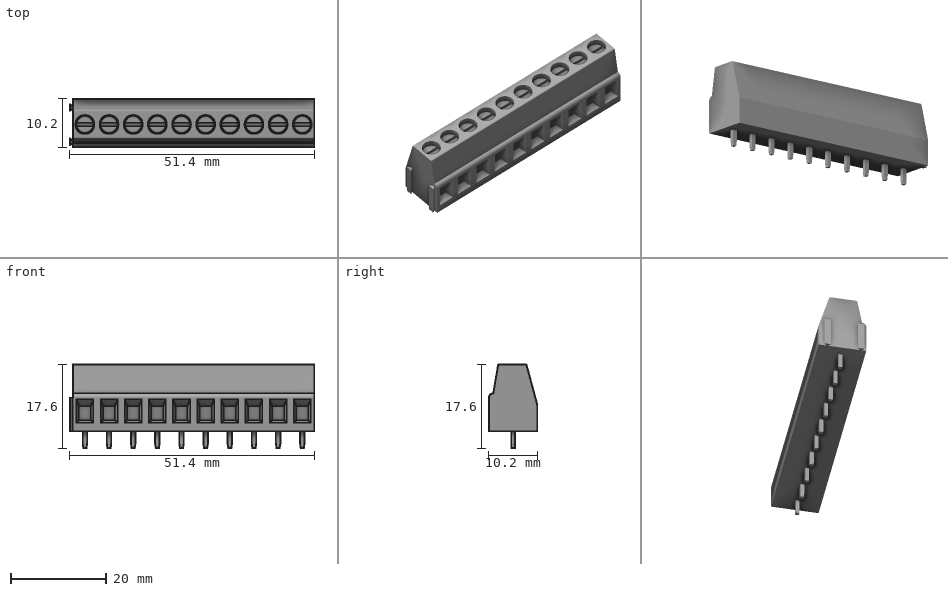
import cadquery as cq


pole_count = 10
pitch = 5.08
length = pole_count * pitch
depth = 10.2
height = 14.1
shoulder_height = 8.0
shoulder_radius = 0.9
top_front_y = 1.93
top_back_y = 7.9
back_slope_start = 5.6
top_edge_radius = 0.25

opening_width = 3.58
opening_floor = 1.84
opening_height = 4.98
opening_side_taper = 0.55
opening_floor_taper = 0.5
opening_roof_taper = 1.57
opening_depth = 1.6

screw_y = 4.84
screw_hole_diameter = 4.0
screw_head_diameter = 3.6
screw_recess = 1.2
screw_gap_depth = 0.5
slot_width = 0.8
slot_depth = 0.7

pin_width = 1.0
pin_thickness = 0.8
pin_length = 3.5
pin_tip_length = 0.95
pin_tip_width = 0.7
pin_y = 5.1

rib_projection = 0.6
rib_outer_width = 1.42
rib_root_width = 0.5
rib_height = 7.1
rib_centres_y = (1.2, 8.4)

pole_centres_x = [(index + 0.5) * pitch for index in range(pole_count)]


def make_housing():
    """Housing profile extruded along the row, with rounded top edges."""
    profile = (
        cq.Workplane("YZ")
        .lineTo(depth, 0)
        .lineTo(depth, back_slope_start)
        .lineTo(top_back_y, height)
        .lineTo(top_front_y, height)
        .lineTo(shoulder_radius, shoulder_height)
        .radiusArc((0, shoulder_height - shoulder_radius), -shoulder_radius)
        .close()
    )
    return profile.extrude(length).faces(">Z").edges("|X").fillet(top_edge_radius)


def make_opening(x):
    """Tapered wire funnel entering from the front face."""
    middle_z = opening_floor + opening_height / 2
    inner_width = opening_width - 2 * opening_side_taper
    inner_height = opening_height - opening_floor_taper - opening_roof_taper
    inner_middle_shift = (opening_floor_taper - opening_roof_taper) / 2
    return (
        cq.Workplane("XZ", origin=(x, 0, middle_z))
        .rect(opening_width, opening_height)
        .workplane(offset=-opening_depth)
        .center(0, inner_middle_shift)
        .rect(inner_width, inner_height)
        .loft(ruled=True)
    )


def make_screw_cavity(x):
    """Screw hole with the slotted screw head left standing at its bottom."""
    head_top = height - screw_recess
    gap_floor = head_top - screw_gap_depth
    hole = (
        cq.Workplane("XY", origin=(x, screw_y, gap_floor))
        .circle(screw_hole_diameter / 2)
        .extrude(height - gap_floor)
    )
    head = (
        cq.Workplane("XY", origin=(x, screw_y, gap_floor))
        .circle(screw_head_diameter / 2)
        .extrude(screw_gap_depth)
    )
    slot = (
        cq.Workplane("XY", origin=(x, screw_y, head_top - slot_depth))
        .rect(screw_head_diameter, slot_width)
        .extrude(slot_depth)
    )
    return hole.cut(head).union(slot)


def make_pin(x):
    """Flat solder pin with a tip narrowed across its width."""
    tip_start = pin_tip_length - pin_length
    return (
        cq.Workplane("XZ", origin=(x, pin_y + pin_thickness / 2, 0))
        .moveTo(-pin_width / 2, 0)
        .lineTo(-pin_width / 2, tip_start)
        .lineTo(-pin_tip_width / 2, -pin_length)
        .lineTo(pin_tip_width / 2, -pin_length)
        .lineTo(pin_width / 2, tip_start)
        .lineTo(pin_width / 2, 0)
        .close()
        .extrude(pin_thickness)
    )


def make_rib(y):
    """Vertical dovetail rib, widest at its outer face."""
    return (
        cq.Workplane("XY", origin=(0, y, 0))
        .moveTo(0, -rib_root_width / 2)
        .lineTo(-rib_projection, -rib_outer_width / 2)
        .lineTo(-rib_projection, rib_outer_width / 2)
        .lineTo(0, rib_root_width / 2)
        .close()
        .extrude(rib_height)
    )


result = make_housing()
for pole_x in pole_centres_x:
    result = result.cut(make_opening(pole_x))
    result = result.cut(make_screw_cavity(pole_x))
    result = result.union(make_pin(pole_x))
for rib_y in rib_centres_y:
    result = result.union(make_rib(rib_y))